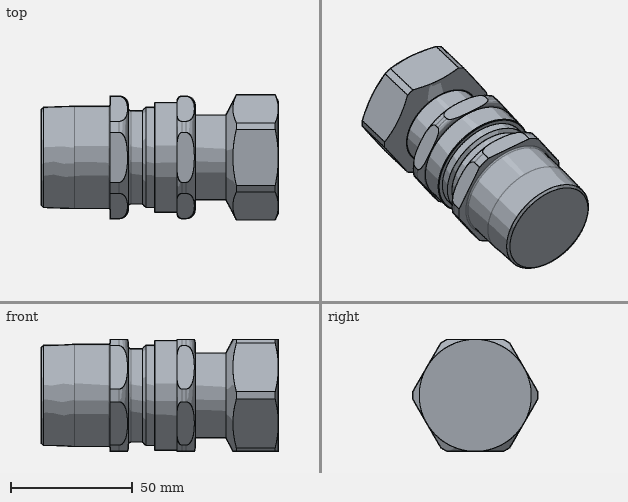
import cadquery as cq
import math


ACROSS_FLATS = 46.0
COLLAR_HEX_RADIUS = 25.2
END_HEX_RADIUS = 51.5 / 2
ROUNDING = 3.9
UNION_BACK_ROUNDING = 2.1

SPIGOT_TIP_RADIUS = 41.2 / 2
SPIGOT_RADIUS = 42.1 / 2
SPIGOT_CHAMFER = 1.0
TAPER_END = 13.6
NIPPLE_HEX_START = 28.3
NIPPLE_HEX_END = 35.8
NECK_RADIUS = 38.4 / 2
SPIGOT_ROOT_FILLET = 0.6
NECK_ROOT_FILLET = 1.0

RING_START = 41.5
RING_END = 46.4
RING_RADIUS = 41.2 / 2
RING_CHAMFER = 1.4

SLEEVE_RADIUS = 45.1 / 2
SLEEVE_CHAMFER = 0.3
UNION_HEX_START = 55.6
UNION_HEX_END = 63.2

TUBE_RADIUS = 34.8 / 2
END_NUT_START = 75.9
CONE_START_RADIUS = 35.4 / 2
CONE_END = 80.1
TOTAL_LENGTH = 97.3
END_CHAMFER_LENGTH = 1.3
END_FACE_RADIUS = ACROSS_FLATS / 2


def revolve_profile(outline):
    """Turn an outline drawn in the XY plane about the X axis."""
    return outline.close().revolve(360, (0, 0, 0), (1, 0, 0))


def hex_bar(start, end):
    """Hexagonal bar along X with flats facing +Z and -Z."""
    corner_diameter = ACROSS_FLATS / math.cos(math.pi / 6)
    return (
        cq.Workplane("YZ", origin=(start, 0, 0))
        .polygon(6, corner_diameter)
        .extrude(end - start)
    )


def rounded_hex(start, end, back_rounding=0.0):
    """Hexagon whose corners are turned and rounded at the +X end, and optionally at the -X end."""
    diagonal = math.sqrt(0.5)
    outline = cq.Workplane("XY").moveTo(start, 0)
    if back_rounding:
        centre_radius = COLLAR_HEX_RADIUS - back_rounding
        outline = outline.lineTo(start, centre_radius).threePointArc(
            (start + back_rounding * (1 - diagonal), centre_radius + back_rounding * diagonal),
            (start + back_rounding, COLLAR_HEX_RADIUS),
        )
    else:
        outline = outline.lineTo(start, COLLAR_HEX_RADIUS)
    centre_x = end - ROUNDING
    centre_radius = COLLAR_HEX_RADIUS - ROUNDING
    outline = (
        outline.lineTo(centre_x, COLLAR_HEX_RADIUS)
        .threePointArc(
            (centre_x + ROUNDING * diagonal, centre_radius + ROUNDING * diagonal),
            (end, centre_radius),
        )
        .lineTo(end, 0)
    )
    return hex_bar(start, end).intersect(revolve_profile(outline))


def make_nipple():
    """Tapered spigot and neck, each blended into the hexagon by a root fillet."""
    inset = 1 - math.sqrt(0.5)
    spigot_blend_start = NIPPLE_HEX_START - SPIGOT_ROOT_FILLET
    neck_blend_end = NIPPLE_HEX_END + NECK_ROOT_FILLET
    core = revolve_profile(
        cq.Workplane("XY")
        .moveTo(0, 0)
        .lineTo(0, SPIGOT_TIP_RADIUS - SPIGOT_CHAMFER)
        .lineTo(SPIGOT_CHAMFER, SPIGOT_TIP_RADIUS)
        .lineTo(TAPER_END, SPIGOT_RADIUS)
        .lineTo(spigot_blend_start, SPIGOT_RADIUS)
        .threePointArc(
            (NIPPLE_HEX_START - inset * SPIGOT_ROOT_FILLET, SPIGOT_RADIUS + inset * SPIGOT_ROOT_FILLET),
            (NIPPLE_HEX_START, SPIGOT_RADIUS + SPIGOT_ROOT_FILLET),
        )
        .lineTo(NIPPLE_HEX_END, NECK_RADIUS + NECK_ROOT_FILLET)
        .threePointArc(
            (NIPPLE_HEX_END + inset * NECK_ROOT_FILLET, NECK_RADIUS + inset * NECK_ROOT_FILLET),
            (neck_blend_end, NECK_RADIUS),
        )
        .lineTo(RING_START, NECK_RADIUS)
        .lineTo(RING_START, 0)
    )
    return core.union(rounded_hex(NIPPLE_HEX_START, NIPPLE_HEX_END))


def make_collar_ring():
    """Round collar between nipple and union nut, chamfered towards the nipple."""
    return (
        cq.Workplane("YZ", origin=(RING_START, 0, 0))
        .circle(RING_RADIUS)
        .extrude(RING_END - RING_START)
        .faces("<X")
        .chamfer(RING_CHAMFER)
    )


def make_union_nut():
    """Round sleeve followed by a hexagon rounded on both sides."""
    sleeve = (
        cq.Workplane("YZ", origin=(RING_END, 0, 0))
        .circle(SLEEVE_RADIUS)
        .extrude(UNION_HEX_START - RING_END)
        .faces("<X")
        .chamfer(SLEEVE_CHAMFER)
    )
    return sleeve.union(rounded_hex(UNION_HEX_START, UNION_HEX_END, UNION_BACK_ROUNDING))


def make_tube():
    """Plain round tube section between union nut and end nut."""
    return (
        cq.Workplane("YZ", origin=(UNION_HEX_END, 0, 0))
        .circle(TUBE_RADIUS)
        .extrude(END_NUT_START - UNION_HEX_END)
    )


def make_end_nut():
    """Hexagon with a long cone towards the tube and a short chamfer at the free end."""
    envelope = revolve_profile(
        cq.Workplane("XY")
        .moveTo(END_NUT_START, 0)
        .lineTo(END_NUT_START, CONE_START_RADIUS)
        .lineTo(CONE_END, END_HEX_RADIUS)
        .lineTo(TOTAL_LENGTH - END_CHAMFER_LENGTH, END_HEX_RADIUS)
        .lineTo(TOTAL_LENGTH, END_FACE_RADIUS)
        .lineTo(TOTAL_LENGTH, 0)
    )
    return hex_bar(END_NUT_START, TOTAL_LENGTH).intersect(envelope)


nipple = make_nipple()
collar_ring = make_collar_ring()
union_nut = make_union_nut()
tube = make_tube()
end_nut = make_end_nut()

result = cq.Compound.makeCompound(
    [nipple.val(), collar_ring.val(), union_nut.val(), tube.val(), end_nut.val()]
)